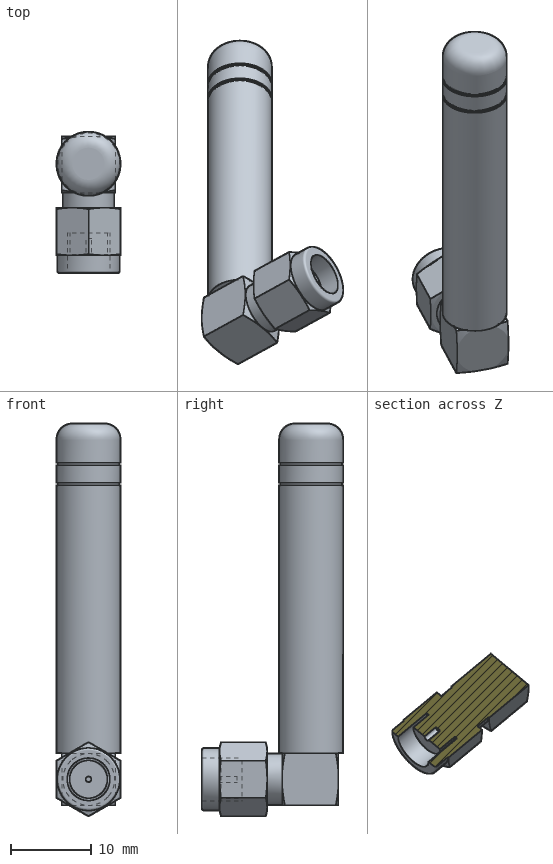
import cadquery as cq
import math


rod_radius = 4.0
rod_length = 41.0
rod_top_fillet = 2.0
groove_width = 0.3
groove_depth = 0.15
first_groove_below_top = 4.9
groove_pitch = 2.5
groove_count = 2

block_width = 6.7
block_height = 6.5
block_back = 3.4
block_front = -3.6
block_chamfer_start_radius = 3.4

neck_radius = 3.22
nut_back = -5.45
nut_length = 5.95
nut_across_flats = 8.0
nut_sides = 6
nut_front = nut_back - nut_length
corner_chamfer_angle = 15.0

sleeve_front = -13.6
sleeve_radius = 3.9
sleeve_fillet = 0.3
bore_radius = 2.65
bore_depth = 5.0
core_radius = 2.35
core_recess = 2.35
contact_hole_radius = 0.35
contact_hole_depth = 2.0


def cylinder_along_y(radius, back, front):
    """Cylinder on the connector axis, from y = back toward y = front."""
    return cq.Workplane("XZ", origin=(0, back, 0)).circle(radius).extrude(back - front)


def corner_envelope(start_radius, back, front):
    """Turned envelope on the connector axis that bevels the corners at both ends."""
    rise = (back - front) / 2
    outer_radius = start_radius + rise / math.tan(math.radians(corner_chamfer_angle))
    return (
        cq.Workplane("XY")
        .moveTo(0, back)
        .lineTo(start_radius, back)
        .lineTo(outer_radius, back - rise)
        .lineTo(start_radius, front)
        .lineTo(0, front)
        .close()
        .revolve(360, (0, 0, 0), (0, 1, 0))
    )


def make_rod():
    """Round rod with a filleted tip and shallow ring grooves near the top."""
    rod_bottom = block_height / 2
    rod_top = rod_bottom + rod_length
    rod = (
        cq.Workplane("XY", origin=(0, 0, rod_bottom))
        .circle(rod_radius)
        .extrude(rod_length)
        .faces(">Z")
        .edges()
        .fillet(rod_top_fillet)
    )
    for index in range(groove_count):
        groove_top = rod_top - first_groove_below_top - index * groove_pitch
        groove = (
            cq.Workplane("XY", origin=(0, 0, groove_top - groove_width))
            .circle(rod_radius)
            .circle(rod_radius - groove_depth)
            .extrude(groove_width)
        )
        rod = rod.cut(groove)
    return rod


def make_block():
    """Rectangular elbow block with turned bevels on its front and back corners."""
    block = (
        cq.Workplane("XZ", origin=(0, block_back, 0))
        .rect(block_width, block_height)
        .extrude(block_back - block_front)
    )
    return block.intersect(corner_envelope(block_chamfer_start_radius, block_back, block_front))


def make_nut():
    """Hexagonal nut with flats facing +X and -X and bevelled corners."""
    across_corners = nut_across_flats / math.cos(math.pi / nut_sides)
    nut = (
        cq.Workplane("XZ", origin=(0, nut_back, 0))
        .transformed(rotate=(0, 0, 90))
        .polygon(nut_sides, across_corners)
        .extrude(nut_length)
    )
    return nut.intersect(corner_envelope(sleeve_radius, nut_back, nut_front))


def make_sleeve():
    """Round sleeve with a rounded front rim."""
    sleeve = cylinder_along_y(sleeve_radius, nut_front, sleeve_front)
    return sleeve.faces("<Y").edges().fillet(sleeve_fillet)


def make_bore():
    """Bore left open around a round insulator core, with a contact hole in the core."""
    bore_floor = sleeve_front + bore_depth
    core_face = sleeve_front + core_recess
    bore = cylinder_along_y(bore_radius, bore_floor, sleeve_front)
    core = cylinder_along_y(core_radius, bore_floor, core_face)
    contact_hole = cylinder_along_y(contact_hole_radius, core_face + contact_hole_depth, core_face)
    return bore.cut(core).union(contact_hole)


neck = cylinder_along_y(neck_radius, block_front, nut_back)
result = (
    make_block()
    .union(make_rod())
    .union(neck)
    .union(make_nut())
    .union(make_sleeve())
    .cut(make_bore())
)